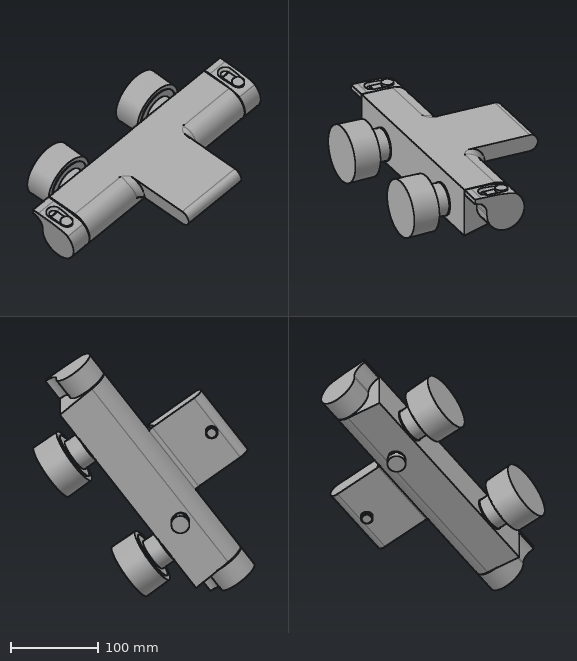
import cadquery as cq
import math


bar_back_x = 53.5
bar_radius = 24.0
bar_axis_x = 93.0
bar_axis_z = -bar_radius
bar_half_length = 131.0
bar_back_height = 60.0

spout_tip_x = 191.5
spout_width = 89.5
spout_thickness = 21.0
spout_end_radius = spout_thickness / 2
under_fillet = 4.8
flare_top_radius = 12.0
flare_bottom_radius = 8.2
flare_sections = 4
flare_overlap = 3.2
flare_embed = 0.15

aerator_diameter = 14.0
aerator_x = 173.2
aerator_drop = 5.0
aerator_chamfer = 1.3

union_y = 75.2
union_z = -38.0
escutcheon_radius = 35.0
escutcheon_front_radius = 34.3
escutcheon_length = 32.7
lip_radius = 28.5
lip_length = 1.0
neck_radius = 39.0 / 2
collar_radius = 40.0 / 2
collar_length = 1.3

connector_x = 86.3
connector_y = 56.8
connector_neck_diameter = 18.5
connector_diameter = 21.0
connector_collar_top = -56.5
connector_bottom = -65.5
connector_socket_top = -41.2

handle_gap = 1.0
handle_end = 158.5
handle_start = bar_half_length + handle_gap
handle_middle = (handle_start + handle_end) / 2
handle_length = handle_end - handle_start
handle_lip = 6.0
handle_throat_radius = 15.2
handle_flat_end_x = 61.5
handle_crown_end_x = 107.5

slot_start_x = 65.0
slot_width = 18.0
slot_floor_width = 11.0
slot_end_x = 101.8
slot_depth = 3.2
cone_depth = 1.5
button_diameter = 14.5
button_x = 94.0


def bar_point(angle):
    """Point on the round front of the bar; the angle is in degrees, from +X towards +Z."""
    turn = math.radians(angle)
    return (bar_axis_x + bar_radius * math.cos(turn), bar_axis_z + bar_radius * math.sin(turn))


def extrude_along_y(outline, start, length):
    """Extrude a closed XZ outline towards +Y from y = start."""
    return outline.extrude(-length).translate((0, start, 0))


def make_bar():
    run = bar_axis_x - bar_back_x
    rise = bar_back_height - bar_radius
    distance = math.hypot(run, rise)
    to_corner = math.degrees(math.atan2(-rise, -run))
    tangent_angle = to_corner + math.degrees(math.acos(bar_radius / distance))
    outline = (
        cq.Workplane("XZ")
        .moveTo(bar_back_x, 0)
        .lineTo(bar_axis_x, 0)
        .threePointArc(bar_point((90 + tangent_angle) / 2), bar_point(tangent_angle))
        .lineTo(bar_back_x, -bar_back_height)
        .close()
    )
    return extrude_along_y(outline, -bar_half_length, 2 * bar_half_length)


def make_spout():
    end_x = spout_tip_x - spout_end_radius
    fillet_z = -spout_thickness - under_fillet
    fillet_reach = bar_radius + under_fillet
    fillet_angle = math.asin((fillet_z - bar_axis_z) / fillet_reach)
    fillet_x = bar_axis_x + fillet_reach * math.cos(fillet_angle)
    middle_angle = (math.pi / 2 + math.pi + fillet_angle) / 2
    fillet_middle = (
        fillet_x + under_fillet * math.cos(middle_angle),
        fillet_z + under_fillet * math.sin(middle_angle),
    )
    outline = (
        cq.Workplane("XZ")
        .moveTo(bar_axis_x, 0)
        .lineTo(end_x, 0)
        .threePointArc((spout_tip_x, -spout_end_radius), (end_x, -spout_thickness))
        .lineTo(fillet_x, -spout_thickness)
        .threePointArc(fillet_middle, bar_point(math.degrees(fillet_angle)))
        .lineTo(bar_axis_x, bar_axis_z)
        .close()
    )
    return extrude_along_y(outline, -spout_width / 2, spout_width)


def flare_section(angle, radius):
    """Horizontal section of the blend, with a concave arc that starts on the bar at the given angle."""
    side_y = spout_width / 2
    inner_y = side_y - flare_overlap
    inner_x = bar_axis_x - flare_overlap
    bar_x, z = bar_point(angle)
    start_x = bar_x - flare_embed
    start_y = side_y - flare_embed
    sagitta = radius * (1 - math.sqrt(0.5))
    return (
        cq.Workplane("XY", origin=(0, 0, z))
        .moveTo(inner_x, inner_y)
        .lineTo(start_x + radius, inner_y)
        .lineTo(start_x + radius, start_y)
        .threePointArc((start_x + sagitta, start_y + sagitta), (start_x, start_y + radius))
        .lineTo(inner_x, start_y + radius)
        .close()
        .val()
    )


def make_flare():
    """Blend between the round bar and the +Y side of the spout, tightening from top to underside."""
    top_angle = 90
    bottom_angle = math.degrees(math.asin((-spout_thickness - bar_axis_z) / bar_radius))
    sections = []
    for index in range(flare_sections):
        share = index / (flare_sections - 1)
        angle = top_angle + share * (bottom_angle - top_angle)
        radius = flare_top_radius + share * (flare_bottom_radius - flare_top_radius)
        sections.append(flare_section(angle, radius))
    return cq.Workplane(cq.Solid.makeLoft(sections))


def make_union(y):
    """Escutcheon, neck and collar turned about an axis parallel to X."""
    return (
        cq.Workplane("XY", origin=(0, y, union_z))
        .polyline([
            (0, 0),
            (0, escutcheon_radius),
            (escutcheon_length, escutcheon_front_radius),
            (escutcheon_length, lip_radius),
            (escutcheon_length + lip_length, lip_radius),
            (escutcheon_length + lip_length, neck_radius),
            (bar_back_x - collar_length, neck_radius),
            (bar_back_x - collar_length, collar_radius),
            (bar_back_x, collar_radius),
            (bar_back_x, 0),
        ])
        .close()
        .revolve(360, (0, 0, 0), (1, 0, 0))
    )


def make_aerator():
    return (
        cq.Workplane("XY", origin=(aerator_x, 0, -spout_thickness))
        .circle(aerator_diameter / 2)
        .extrude(-aerator_drop)
        .faces("<Z")
        .chamfer(aerator_chamfer)
    )


def make_connector():
    neck = (
        cq.Workplane("XY", origin=(connector_x, connector_y, connector_collar_top))
        .circle(connector_neck_diameter / 2)
        .extrude(connector_socket_top - connector_collar_top)
    )
    collar = (
        cq.Workplane("XY", origin=(connector_x, connector_y, connector_bottom))
        .circle(connector_diameter / 2)
        .extrude(connector_collar_top - connector_bottom)
    )
    return neck.union(collar)


def make_housing(connector):
    housing = make_bar().union(make_spout())
    flare = make_flare()
    housing = housing.union(flare).union(flare.mirror("XZ"))
    for y in (-union_y, union_y):
        housing = housing.union(make_union(y))
    housing = housing.union(make_aerator())
    return housing.cut(connector)


def make_handle_blank():
    throat_z = -handle_lip - handle_throat_radius
    throat_middle = (
        bar_back_x + handle_throat_radius * math.sqrt(0.5),
        throat_z + handle_throat_radius * math.sqrt(0.5),
    )
    crown_angle = math.degrees(math.acos((handle_crown_end_x - bar_axis_x) / bar_radius))
    crown_end = bar_point(crown_angle)
    crown_corner_x = crown_end[0] + crown_end[1] / math.tan(math.radians(90 - crown_angle))
    outline = (
        cq.Workplane("XZ")
        .moveTo(bar_back_x, 0)
        .lineTo(handle_flat_end_x, 0)
        .bezier([(crown_corner_x, 0), crown_end], includeCurrent=True)
        .threePointArc(bar_point(-90), bar_point(180))
        .lineTo(bar_back_x + handle_throat_radius, throat_z)
        .threePointArc(throat_middle, (bar_back_x, -handle_lip))
        .close()
    )
    return extrude_along_y(outline, handle_start, handle_length)


def make_handle():
    """Handle at the +Y end, with a tapered indicator slot and a round button flush with z = 0."""
    slot_length = slot_end_x - slot_start_x
    slot_middle_x = (slot_start_x + slot_end_x) / 2
    narrowing = slot_width - slot_floor_width
    slot = (
        cq.Workplane("XY", origin=(slot_middle_x, handle_middle, 0))
        .slot2D(slot_length, slot_width)
        .workplane(offset=-slot_depth)
        .slot2D(slot_length - narrowing, slot_floor_width)
        .loft()
    )
    cone_radius = slot_floor_width / 2
    cone_x = slot_start_x + slot_width / 2
    cone = (
        cq.Workplane("YZ", origin=(cone_x, handle_middle, -slot_depth))
        .polyline([(0, 0), (cone_radius, 0), (0, -cone_depth)])
        .close()
        .revolve(180, (0, 0, 0), (0, 1, 0))
    )
    button = (
        cq.Workplane("XY", origin=(button_x, handle_middle, 0))
        .circle(button_diameter / 2)
        .extrude(-2 * slot_depth)
    )
    return make_handle_blank().cut(slot).cut(cone).union(button)


hose_connector = make_connector()
housing = make_housing(hose_connector)

handles = []
for turn in (0, 1):
    handle = make_handle()
    if turn:
        handle = handle.mirror("XZ")
    handles.append(handle.val())

result = cq.Compound.makeCompound([housing.val(), hose_connector.val(), *handles])